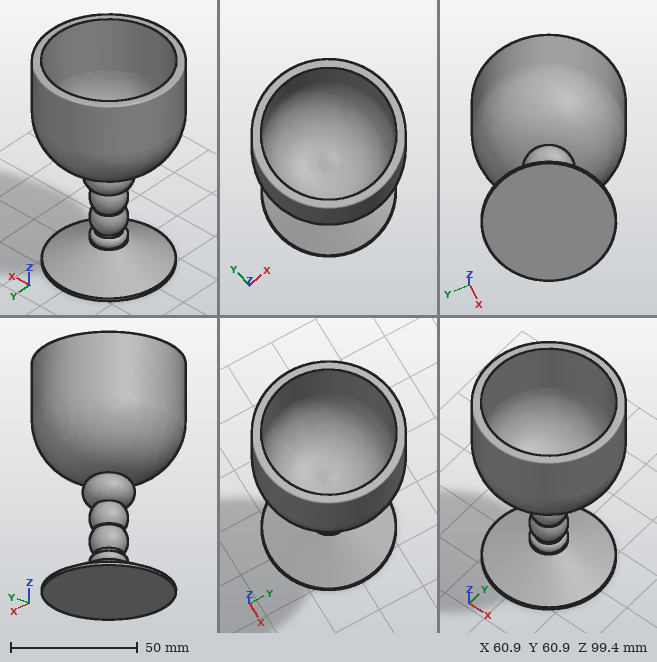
import cadquery as cq
import math

total_height = 99.4
bowl_radius = 60.9 / 2
bore_radius = 53.5 / 2

bowl_spring_z = 74.7
cavity_spring_z = 74.0
bend_ring_radius = 5.3
cavity_peak_radius = 4.4
cavity_peak_rise = 0.4
rim_round = 0.7

collar_tube_radius = 6.3
collar_ring_radius = 4.1
collar_z = 43.3
bead_radius = 7.7
upper_bead_z = 32.1
lower_bead_z = 22.0
upper_neck_radius = 6.0
lower_neck_radius = 5.7
knop_tube_radius = 2.6
knop_ring_radius = 5.1
knop_z = 13.0

foot_radius = 26.6
foot_edge_height = 1.4
foot_edge_bulge = 0.3
foot_top_radius = 7.6
foot_top_z = 11.1


def revolve_profile(profile):
    """Turn a closed radius-height profile about the Z axis."""
    return profile.close().revolve(360, (0, 0, 0), (0, 1, 0))


def round_bottomed_body(side_radius, spring_z, floor_radius, peak_rise=0):
    """Straight-sided body up to the rim, over a round bend that ends at the floor radius.

    Inside the floor radius the bottom rises by peak_rise to a point on the axis.
    """
    bend_radius = side_radius - bend_ring_radius
    diagonal = bend_radius * math.sqrt(0.5)
    floor_z = spring_z - math.sqrt(bend_radius**2 - (bend_ring_radius - floor_radius) ** 2)
    return revolve_profile(
        cq.Workplane("XZ")
        .moveTo(0, floor_z + peak_rise)
        .lineTo(floor_radius, floor_z)
        .threePointArc((bend_ring_radius + diagonal, spring_z - diagonal), (side_radius, spring_z))
        .lineTo(side_radius, total_height)
        .lineTo(0, total_height)
    )


def make_bowl():
    outside = round_bottomed_body(bowl_radius, bowl_spring_z, bend_ring_radius)
    outside = outside.faces(">Z").edges().fillet(rim_round)
    cavity = round_bottomed_body(bore_radius, cavity_spring_z, cavity_peak_radius, cavity_peak_rise)
    return outside.cut(cavity)


def make_ring_bead(ring_radius, tube_radius, center_z):
    """Solid bead with a half-round edge."""
    bottom_z = center_z - tube_radius
    top_z = center_z + tube_radius
    return revolve_profile(
        cq.Workplane("XZ")
        .moveTo(0, bottom_z)
        .lineTo(ring_radius, bottom_z)
        .threePointArc((ring_radius + tube_radius, center_z), (ring_radius, top_z))
        .lineTo(0, top_z)
    )


def make_neck(radius, bottom_z, top_z):
    return cq.Workplane("XY").workplane(offset=bottom_z).circle(radius).extrude(top_z - bottom_z)


def make_stem():
    collar = make_ring_bead(collar_ring_radius, collar_tube_radius, collar_z)
    knop = make_ring_bead(knop_ring_radius, knop_tube_radius, knop_z)
    stem = collar.union(knop)
    for bead_z in (upper_bead_z, lower_bead_z):
        stem = stem.union(cq.Workplane("XY").sphere(bead_radius).translate((0, 0, bead_z)))
    stem = stem.union(make_neck(upper_neck_radius, lower_bead_z, upper_bead_z))
    return stem.union(make_neck(lower_neck_radius, knop_z, lower_bead_z))


def make_foot():
    rim_radius = foot_radius - foot_edge_bulge
    return revolve_profile(
        cq.Workplane("XZ")
        .moveTo(0, 0)
        .lineTo(rim_radius, 0)
        .threePointArc((foot_radius, foot_edge_height / 2), (rim_radius, foot_edge_height))
        .lineTo(foot_top_radius, foot_top_z)
        .lineTo(0, foot_top_z)
    )


result = make_foot().union(make_stem()).union(make_bowl())